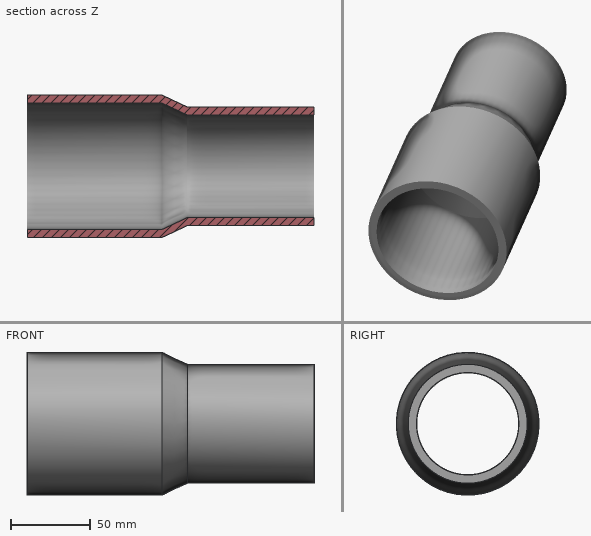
import cadquery as cq

total_length = 181.0
large_length = 85.0
taper_length = 16.0
large_outer_diameter = 90.0
large_bore_diameter = 79.3
small_outer_diameter = 75.0
small_bore_diameter = 64.3

start_x = -total_length / 2
taper_start_x = start_x + large_length
taper_end_x = taper_start_x + taper_length
end_x = total_length / 2


def reducer_body(large_diameter, small_diameter):
    """Solid of revolution: large cylinder, conical taper, small cylinder."""
    large_radius = large_diameter / 2
    small_radius = small_diameter / 2
    half_profile = (
        cq.Workplane("XY")
        .moveTo(start_x, 0)
        .lineTo(start_x, large_radius)
        .lineTo(taper_start_x, large_radius)
        .lineTo(taper_end_x, small_radius)
        .lineTo(end_x, small_radius)
        .lineTo(end_x, 0)
        .close()
    )
    return half_profile.revolve(360, (0, 0, 0), (1, 0, 0))


outer_body = reducer_body(large_outer_diameter, small_outer_diameter)
bore = reducer_body(large_bore_diameter, small_bore_diameter)
result = outer_body.cut(bore)